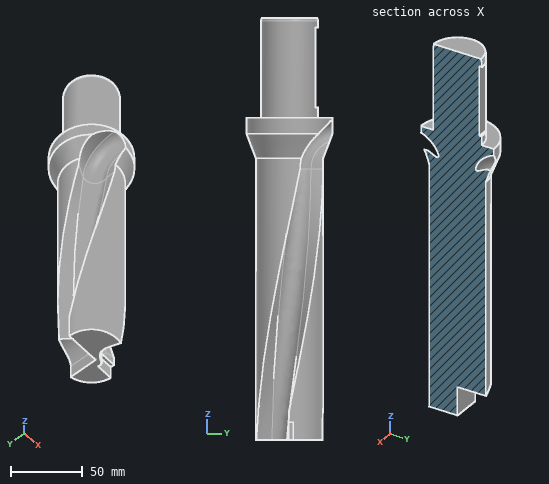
import cadquery as cq
import math

total_length = 294.7
collar_top = 225.0
collar_bottom = 213.5
cone_bottom = 196.5

shank_radius = 20.0
collar_radius = 30.0
body_radius = 23.5

chamfer_width = 0.5
chamfer_height = 2.0
flat_depth = 1.8
flat_bottom = 232.2
flat_top = 288.0

flute_start_angle = 135.3
flute_twist_per_unit = 0.5091
flute_height = 189.5
flute_floor = 6.0
trailing_corner = (9.7, -8.0)
leading_corner = (12.5, 8.3)
flute_half_angle = 33.3
flute_reach = 28.0

runout_axis_distance = 35.5
runout_heading = 277
runout_swing = 88

inner_floor_x = 4.5
inner_straight_height = 12.7
inner_corner_radius = 14.5

outer_floor_x = 9.5
outer_wall_y = -0.45
outer_pocket_height = 24.2
seat_height = 12.5
seat_depth = 3.0
seat_wall = 0.5

clearance = 6


def make_blank():
    profile = [
        (0, 0),
        (body_radius, 0),
        (body_radius, cone_bottom),
        (collar_radius, collar_bottom),
        (collar_radius, collar_top),
        (shank_radius, collar_top),
        (shank_radius, total_length - chamfer_height),
        (shank_radius - chamfer_width, total_length),
        (0, total_length),
    ]
    return cq.Workplane("XZ").polyline(profile).close().revolve(360, (0, 0), (0, 1))


def box_between(low, high):
    size = [b - a for a, b in zip(low, high)]
    return cq.Workplane("XY").box(*size, centered=False).translate(low)


def flute_wall_end(corner, side):
    """Point where the wall from a floor corner, through the body surface, leaves the part."""
    half_angle = math.radians(flute_half_angle)
    rim = (body_radius * math.cos(half_angle), side * body_radius * math.sin(half_angle))
    stretch = (flute_reach - corner[0]) / (rim[0] - corner[0])
    return (flute_reach, corner[1] + stretch * (rim[1] - corner[1]))


def flute_section(height, angle):
    plane = cq.Workplane("XY", origin=(0, 0, height)).transformed(rotate=(0, 0, angle))
    return (
        plane.moveTo(*flute_wall_end(trailing_corner, -1))
        .lineTo(*trailing_corner)
        .threePointArc((flute_floor, 0), leading_corner)
        .lineTo(*flute_wall_end(leading_corner, 1))
        .close()
    )


def make_flute():
    twist = flute_twist_per_unit * flute_height
    helix = flute_section(0, flute_start_angle).twistExtrude(flute_height, twist)
    end_wire = flute_section(flute_height, flute_start_angle + twist).wires().val()
    heading = math.radians(runout_heading)
    outward = cq.Vector(math.cos(heading), math.sin(heading), 0)
    axis_start = outward * runout_axis_distance + cq.Vector(0, 0, flute_height)
    axis_end = axis_start + cq.Vector(0, 0, 3).cross(outward)
    runout = cq.Workplane(cq.Solid.revolve(end_wire, [], runout_swing, axis_start, axis_end))
    return helix, runout


def make_inner_pocket():
    outside = -body_radius - clearance
    ceiling = inner_straight_height + inner_corner_radius
    diagonal = inner_corner_radius * (1 - math.sqrt(0.5))
    return (
        cq.Workplane("XZ")
        .moveTo(outside, -clearance)
        .lineTo(inner_floor_x, -clearance)
        .lineTo(inner_floor_x, inner_straight_height)
        .threePointArc(
            (inner_floor_x - diagonal, ceiling - diagonal),
            (inner_floor_x - inner_corner_radius, ceiling),
        )
        .lineTo(outside, ceiling)
        .close()
        .extrude(-body_radius - clearance)
    )


def make_outer_pocket():
    outside = body_radius + clearance
    pocket = box_between((outer_floor_x, -outside, -clearance), (outside, outer_wall_y, outer_pocket_height))
    seat_x = outer_floor_x + seat_wall
    seat = box_between((seat_x, -outside, -clearance), (outside, outer_wall_y + seat_depth, seat_height))
    return pocket.union(seat)


def make_shank_flat():
    flat_y = shank_radius - flat_depth
    low = (-shank_radius, flat_y, flat_bottom)
    high = (shank_radius, shank_radius + clearance, flat_top)
    return box_between(low, high)


result = make_blank().cut(make_shank_flat())
for turn in (0, 180):
    for cutter in make_flute():
        result = result.cut(cutter.rotate((0, 0, 0), (0, 0, 1), turn))
result = result.cut(make_inner_pocket()).cut(make_outer_pocket())